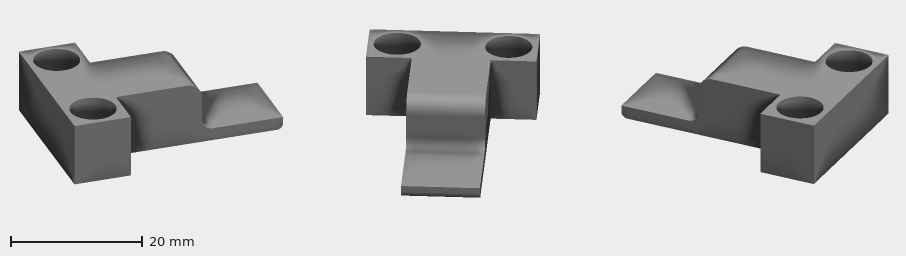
import cadquery as cq

length = 36.0
width = 26.0
height = 10.0

bar_depth = 9.07
hole_diameter = 7.2
hole_spacing = 17.0

stem_width = 12.02
tongue_length = 13.05
tongue_thickness = 2.0
shoulder_radius = 2.5
root_radius = 1.65
tip_radius = 1.0

step_y = length - tongue_length


def make_crossbar():
    bar = cq.Workplane("XY").box(width, bar_depth, height, centered=(True, False, False))
    hole_centres = [(side * hole_spacing / 2, bar_depth / 2) for side in (-1, 1)]
    holes = cq.Workplane("XY").pushPoints(hole_centres).circle(hole_diameter / 2).extrude(height)
    return bar.cut(holes)


def make_stem():
    """Stepped side profile extruded across the stem width."""
    stem = (
        cq.Workplane("YZ")
        .moveTo(bar_depth, 0)
        .lineTo(length - tip_radius, 0)
        .radiusArc((length, tip_radius), -tip_radius)
        .lineTo(length, tongue_thickness)
        .lineTo(step_y + root_radius, tongue_thickness)
        .radiusArc((step_y, tongue_thickness + root_radius), root_radius)
        .lineTo(step_y, height - shoulder_radius)
        .radiusArc((step_y - shoulder_radius, height), -shoulder_radius)
        .lineTo(bar_depth, height)
        .close()
        .extrude(stem_width / 2, both=True)
    )
    return stem


result = make_crossbar().union(make_stem())